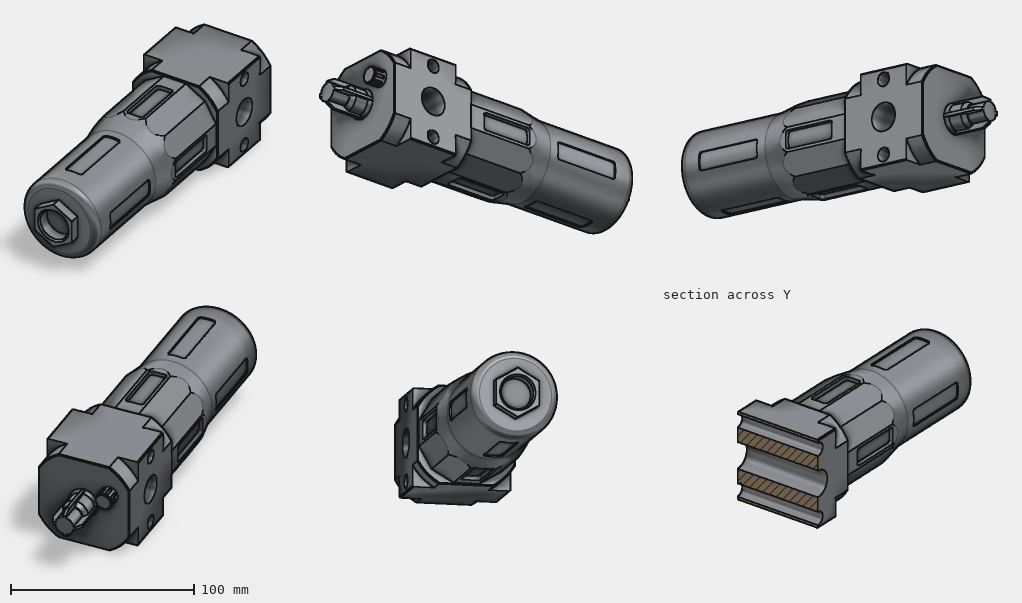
import cadquery as cq
import math


LENGTH = 204.3
NUT_END = 6.0
NECK_START = 66.2
GRIP_START = 83.4
BLOCK_START = 124.5
BLOCK_LENGTH = 55.0
BLOCK_MID = BLOCK_START + BLOCK_LENGTH / 2
BLOCK_END = BLOCK_START + BLOCK_LENGTH

BLOCK_SIDE = BLOCK_LENGTH
CORNER_RADIUS = 31.5
CORNER_LENGTH = 11.5
BLOCK_CHAMFER = 0.6
PORT_DIAMETER = 16.3
MOUNT_DIAMETER = 8.0
MOUNT_OFFSET = 21.5

BOWL_RADIUS = 24.3
BOWL_FILLET = 4.0
GRIP_FLATS = 53.1
GRIP_SIDES = 12
GRIP_RADIUS = GRIP_FLATS / 2 / math.cos(math.pi / GRIP_SIDES)

WINDOW_WIDTH = 10.6
WINDOW_CORNER = 1.6
LOWER_WINDOW = (20.0, 60.7)
LOWER_FLOOR_RADIUS = 23.4
UPPER_WINDOW = (82.7, 115.0)
UPPER_FLOOR_RADIUS = BOWL_RADIUS

NUT_FLATS = 24.0
NUT_SIDES = 6
DRAIN_DIAMETER = 18.0
DRAIN_CHAMFER = 1.0
DRAIN_DEPTH = 7.8

FIN_WIDTH = 18.0
FIN_THICKNESS = 1.8
FIN_TIP_INSET = 2.5
FIN_TIP_LENGTH = 4.3
TUBE_RADIUS = 5.5
COLLAR_TOP = 193.0
COLLAR_TOP_RADIUS = 6.03
COLLAR_SHOULDER = 190.0
COLLAR_RADIUS = 7.66
FLARE_TOP = 181.8
FLARE_RADIUS = 8.8

KNOB_X = -15.5
KNOB_Z = 9.8
KNOB_DIAMETER = 10.0
KNOB_TOP = 187.5
KNOB_CHAMFER = 0.6
FLUTE_COUNT = 8
FLUTE_FIRST_ANGLE = 15.0
FLUTE_WIDTH = 1.6
FLUTE_DEPTH = 0.6
FLUTE_BOTTOM = 180.8
FLUTE_TOP = 186.3


def section_at(y):
    """Workplane across the axis, facing +Y, with local x along -X and local y along Z."""
    return cq.Workplane("XZ", origin=(0, y, 0)).transformed(rotate=(0, 180, 0))


def revolve_about_axis(profile):
    """Turn a closed profile of (radius, Y) points about the Y axis."""
    return cq.Workplane("XY").polyline(profile).close().revolve(360, (0, 0, 0), (0, 1, 0))


def polygon_bar(sides, across_flats, start, end, first_angle):
    """Regular polygon bar along Y with its first corner at the given angle."""
    radius = across_flats / 2 / math.cos(math.pi / sides)
    angles = [math.radians(first_angle + 360 * i / sides) for i in range(sides)]
    corners = [(radius * math.cos(a), radius * math.sin(a)) for a in angles]
    return section_at(start).polyline(corners).close().extrude(end - start)


def make_block():
    middle_length = BLOCK_LENGTH - 2 * CORNER_LENGTH
    middle = (
        section_at(BLOCK_START + CORNER_LENGTH)
        .rect(BLOCK_SIDE, BLOCK_SIDE)
        .extrude(middle_length)
        .edges("|Y")
        .chamfer(BLOCK_CHAMFER)
    )
    square = section_at(BLOCK_START).rect(BLOCK_SIDE, BLOCK_SIDE).extrude(BLOCK_LENGTH)
    rounded = section_at(BLOCK_START).circle(CORNER_RADIUS).extrude(BLOCK_LENGTH)
    block = square.intersect(rounded).faces("<Y or >Y").chamfer(BLOCK_CHAMFER).union(middle)

    side_face = cq.Workplane("YZ", origin=(-BLOCK_SIDE / 2, BLOCK_MID, 0))
    port = side_face.circle(PORT_DIAMETER / 2).extrude(BLOCK_SIDE)
    mounts = side_face.pushPoints([(0, MOUNT_OFFSET), (0, -MOUNT_OFFSET)])
    mount_holes = mounts.circle(MOUNT_DIAMETER / 2).extrude(BLOCK_SIDE)
    return block.cut(port).cut(mount_holes)


def make_bowl():
    shell = revolve_about_axis([
        (0, NUT_END),
        (BOWL_RADIUS, NUT_END),
        (BOWL_RADIUS, NECK_START),
        (GRIP_RADIUS, GRIP_START),
        (GRIP_RADIUS, BLOCK_START),
        (0, BLOCK_START),
    ]).faces("<Y").edges().fillet(BOWL_FILLET)
    grip = polygon_bar(GRIP_SIDES, GRIP_FLATS, NUT_END, BLOCK_START, 180 / GRIP_SIDES)
    return shell.intersect(grip)


def make_windows(span, floor_radius):
    """Cutter for one window on each of the four sides, all with a round floor about the axis."""
    start, end = span
    window = (
        cq.Workplane("XY", origin=(0, (start + end) / 2, 0))
        .rect(WINDOW_WIDTH, end - start)
        .extrude(GRIP_RADIUS)
        .edges("|Z")
        .fillet(WINDOW_CORNER)
    )
    cutter = window
    for quarter in range(1, 4):
        cutter = cutter.union(window.rotate((0, 0, 0), (0, 1, 0), 90 * quarter))
    floor = section_at(start).circle(floor_radius).extrude(end - start)
    return cutter.cut(floor)


def make_nut():
    return polygon_bar(NUT_SIDES, NUT_FLATS, 0, NUT_END, 90)


def make_drain_hole():
    radius = DRAIN_DIAMETER / 2
    return revolve_about_axis([
        (0, 0),
        (radius + DRAIN_CHAMFER, 0),
        (radius, DRAIN_CHAMFER),
        (radius, DRAIN_DEPTH),
        (0, DRAIN_DEPTH),
    ])


def make_nipple():
    nipple = revolve_about_axis([
        (0, BLOCK_END),
        (FLARE_RADIUS, BLOCK_END),
        (COLLAR_RADIUS, FLARE_TOP),
        (COLLAR_RADIUS, COLLAR_SHOULDER),
        (COLLAR_TOP_RADIUS, COLLAR_TOP),
        (TUBE_RADIUS, COLLAR_TOP),
        (TUBE_RADIUS, LENGTH),
        (0, LENGTH),
    ])
    half_width = FIN_WIDTH / 2
    half_tip = half_width - FIN_TIP_INSET
    shoulder = LENGTH - FIN_TIP_LENGTH
    fin = (
        cq.Workplane("XY")
        .polyline([
            (-half_width, BLOCK_END),
            (half_width, BLOCK_END),
            (half_width, shoulder),
            (half_tip, LENGTH),
            (-half_tip, LENGTH),
            (-half_width, shoulder),
        ])
        .close()
        .extrude(FIN_THICKNESS / 2, both=True)
    )
    return nipple.union(fin).union(fin.rotate((0, 0, 0), (0, 1, 0), 90))


def make_knob():
    radius = KNOB_DIAMETER / 2
    knob = section_at(BLOCK_END).circle(radius).extrude(KNOB_TOP - BLOCK_END)
    knob = knob.faces(">Y").chamfer(KNOB_CHAMFER)
    flute = cq.Workplane("XY").box(
        2 * FLUTE_DEPTH, FLUTE_TOP - FLUTE_BOTTOM, FLUTE_WIDTH
    ).translate((radius, (FLUTE_TOP + FLUTE_BOTTOM) / 2, 0))
    for i in range(FLUTE_COUNT):
        angle = FLUTE_FIRST_ANGLE + 360 * i / FLUTE_COUNT
        knob = knob.cut(flute.rotate((0, 0, 0), (0, 1, 0), -angle))
    return knob.translate((KNOB_X, 0, KNOB_Z))


bowl = (
    make_bowl()
    .cut(make_windows(LOWER_WINDOW, LOWER_FLOOR_RADIUS))
    .cut(make_windows(UPPER_WINDOW, UPPER_FLOOR_RADIUS))
    .union(make_nut())
    .cut(make_drain_hole())
)
result = make_block().union(bowl).union(make_nipple()).union(make_knob())